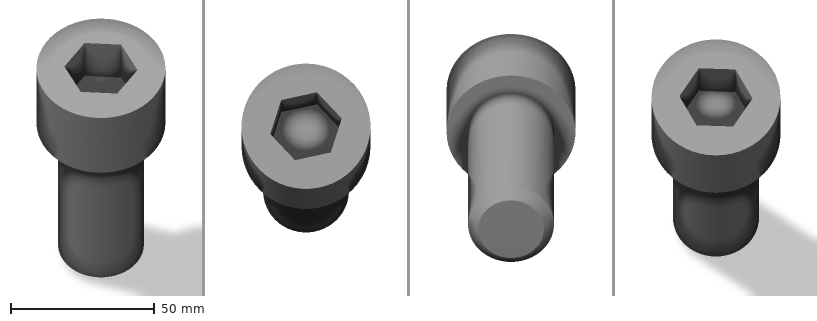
import cadquery as cq
import math

shank_diameter = 30.0
shank_length = 70.0
head_diameter = 1.5 * shank_diameter
head_height = shank_diameter

tip_chamfer = 3.5
underhead_radius = 0.3
rim_radius = 0.06

socket_across_flats = 22.12
socket_across_corners = socket_across_flats / math.cos(math.radians(30))
socket_depth = 0.6 * head_height


def make_body():
    """Head and shank with its conical tip, revolved about the Z axis."""
    head_radius = head_diameter / 2
    shank_radius = shank_diameter / 2
    profile = (
        cq.Workplane("XZ")
        .moveTo(0, -shank_length)
        .lineTo(shank_radius - tip_chamfer, -shank_length)
        .lineTo(shank_radius, -shank_length + tip_chamfer)
        .lineTo(shank_radius, -underhead_radius)
        .radiusArc((shank_radius + underhead_radius, 0), underhead_radius)
        .lineTo(head_radius, 0)
        .lineTo(head_radius, head_height - rim_radius)
        .radiusArc((head_radius - rim_radius, head_height), -rim_radius)
        .lineTo(0, head_height)
        .close()
    )
    return profile.revolve(360, (0, 0, 0), (0, 1, 0))


def make_socket():
    """Flat-bottomed hexagonal socket with two corners in the XZ plane."""
    return (
        cq.Workplane("XY")
        .workplane(offset=head_height - socket_depth)
        .polygon(6, socket_across_corners)
        .extrude(socket_depth)
    )


result = make_body().cut(make_socket())